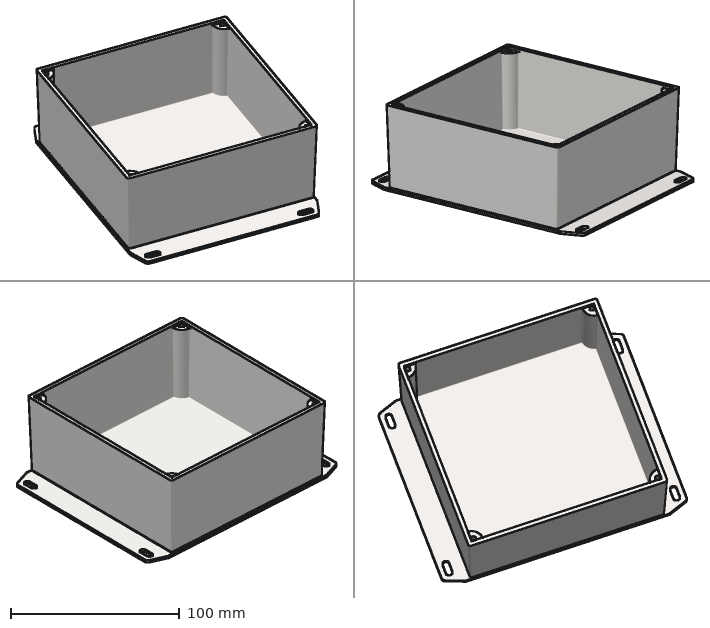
import cadquery as cq
import math

plate_length = 154.2
plate_width = 123.0
plate_thickness = 1.7
plate_shoulder_x = 64.1
plate_end_width = 113.2
plate_corner_radius = 2.3

slot_spacing_x = 143.1
slot_spacing_y = 100.5
slot_length = 9.5
slot_width = 4.0

box_top = 54.5
rim_size = 125.0
rim_wall = 2.8
draft_angle = 1.5
outer_corner_radius = 1.4
base_edge_radius = 1.15
floor_height = 4.5
floor_edge_radius = 0.5

post_top = 52.7
post_top_radius = 7.1
post_draft_angle = 1.0
post_side_radius = 0.6
screw_hole_inset = 1.9
screw_hole_diameter = 3.0
screw_hole_depth = 15.4

cavity_rim_size = rim_size - 2 * rim_wall


def size_at(top_size, height):
    """Side of a drafted square at a height, given its side at the rim."""
    return top_size - 2 * (box_top - height) * math.tan(math.radians(draft_angle))


def drafted_block(rim_side, bottom_z, top_z):
    """Square block between two heights, narrowing downwards by the draft angle."""
    side = size_at(rim_side, top_z)
    return (
        cq.Workplane("XY", origin=(0, 0, top_z))
        .rect(side, side)
        .extrude(bottom_z - top_z, taper=draft_angle)
    )


def make_plate():
    half_length = plate_length / 2
    half_width = plate_width / 2
    half_end = plate_end_width / 2
    outline = [
        (half_length, -half_end),
        (half_length, half_end),
        (plate_shoulder_x, half_width),
        (-plate_shoulder_x, half_width),
        (-half_length, half_end),
        (-half_length, -half_end),
        (-plate_shoulder_x, -half_width),
        (plate_shoulder_x, -half_width),
    ]
    plate = cq.Workplane("XY").polyline(outline).close().extrude(plate_thickness)
    plate = plate.edges("|Z and (<X or >X)").fillet(plate_corner_radius)
    slots = (
        cq.Workplane("XY")
        .rarray(slot_spacing_x, slot_spacing_y, 2, 2)
        .slot2D(slot_length, slot_width, 90)
        .extrude(plate_thickness)
    )
    return plate.cut(slots)


def make_shell():
    shell = drafted_block(rim_size, plate_thickness, box_top)
    shell = shell.edges("not(#Z)").fillet(outer_corner_radius)
    shell = shell.faces("<Z").edges().fillet(base_edge_radius)
    return shell


def make_posts():
    """Round posts centred on the cavity corners, slightly wider at the floor."""
    height = post_top - floor_height
    base_radius = post_top_radius + height * math.tan(math.radians(post_draft_angle))
    return (
        cq.Workplane("XY", origin=(0, 0, floor_height))
        .rarray(cavity_rim_size, cavity_rim_size, 2, 2)
        .circle(base_radius)
        .extrude(height, taper=post_draft_angle)
    )


def make_cavity():
    """Inside space: rounded around the posts and floor, sharp-cornered above the posts."""
    lower = drafted_block(cavity_rim_size, floor_height, post_top).cut(make_posts())
    lower = lower.edges("not(#Z or %CIRCLE)").fillet(post_side_radius)
    lower = lower.faces("<Z").edges().fillet(floor_edge_radius)
    upper = drafted_block(cavity_rim_size, post_top, box_top)
    return lower.union(upper)


def make_screw_holes():
    spacing = cavity_rim_size - 2 * screw_hole_inset
    return (
        cq.Workplane("XY", origin=(0, 0, post_top))
        .rarray(spacing, spacing, 2, 2)
        .circle(screw_hole_diameter / 2)
        .extrude(-screw_hole_depth)
    )


box = make_shell().union(make_plate())
result = box.cut(make_cavity()).cut(make_screw_holes())